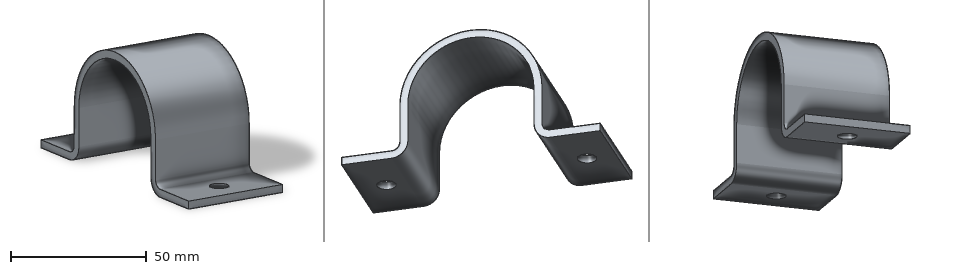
import cadquery as cq

length = 99.2
width = 41.3
height = 48.4

thickness = 3.1
arch_radius = 27.3
bend_inner_radius = 3.2
bend_outer_radius = bend_inner_radius + thickness

hole_diameter = 7.1
hole_spacing = 77.0

arch_center_z = height - arch_radius
bore_radius = arch_radius - thickness


def make_arch_block(radius):
    """Upright block with a half-round top, standing on the base plane."""
    return (
        cq.Workplane("XZ", origin=(0, width / 2, 0))
        .moveTo(-radius, 0)
        .lineTo(-radius, arch_center_z)
        .threePointArc((0, arch_center_z + radius), (radius, arch_center_z))
        .lineTo(radius, 0)
        .close()
        .extrude(width)
    )


def make_strip():
    """Flanges and arch as one strip of constant thickness with rounded bends."""
    flanges = cq.Workplane("XY").box(length, width, thickness, centered=(True, True, False))
    outside = flanges.union(make_arch_block(arch_radius))
    for side in (-1, 1):
        corner = (side * arch_radius, 0, thickness)
        outside = outside.edges(cq.selectors.NearestToPointSelector(corner)).fillet(bend_inner_radius)

    strip = outside.cut(make_arch_block(bore_radius))
    for side in (-1, 1):
        corner = (side * bore_radius, 0, 0)
        strip = strip.edges(cq.selectors.NearestToPointSelector(corner)).fillet(bend_outer_radius)
    return strip


def make_holes():
    """One through hole in the middle of each flange."""
    return (
        cq.Workplane("XY")
        .pushPoints([(-hole_spacing / 2, 0), (hole_spacing / 2, 0)])
        .circle(hole_diameter / 2)
        .extrude(thickness)
    )


result = make_strip().cut(make_holes())